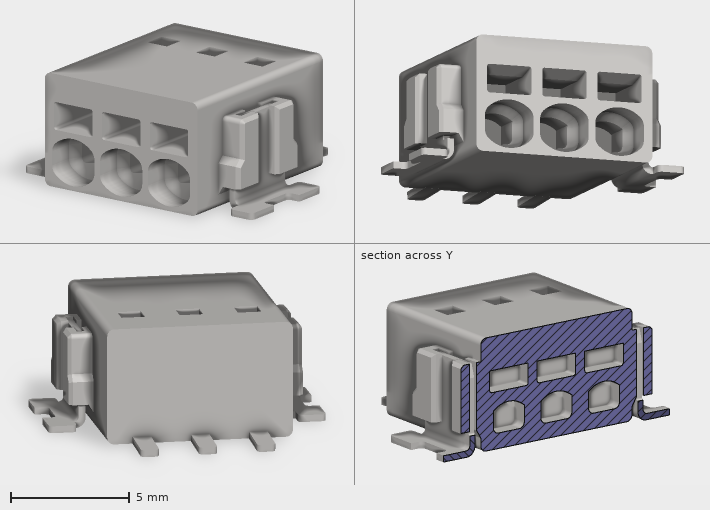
import cadquery as cq
import math


housing_width = 7.97
housing_depth = 9.0
housing_height = 5.0
housing_edge_radius = 0.3
side_x = -housing_width / 2

pole_pitch = 2.5
pole_centres = [-pole_pitch, 0, pole_pitch]

window_width = 2.0
window_bottom = 2.53
window_top = 3.76
window_corner_radius = 0.11
window_roof_angle = 15
window_roof_length = 1.01
cavity_depth = 3.0

mouth_width = 2.2
mouth_height = 2.08
mouth_centre_z = 1.25
mouth_arc_radius = 1.4
mouth_corner_radius = 0.5
mouth_depth = 1.2
funnel_angle = 30
funnel_depth = 0.83
bore_width = 1.6
bore_bottom = 0.7
bore_side_top = 1.69
bore_top = 1.99
bore_corner_radius = 0.24

test_pocket_size = 1.01
test_pocket_depth = 0.5
test_pocket_y = 6.52

tail_width = 0.79
tail_thickness = 0.3
tail_length = 2.0
tail_root = 0.24
tail_slope = 3.0
tail_corner_radius = 0.2
tail_tip_z = -0.12

holder_y = 3.7
holder_reach = 1.05
holder_bottom = 1.0
holder_top = 4.0
holder_gap_half = 0.6
holder_top_half = 1.9
holder_base_half = 2.19
holder_step_z = 2.0
holder_corner_radius = 0.2
holder_chamfer = 0.15
bridge_top = holder_step_z
gusset_reach = 0.21
gusset_height = 0.37

clip_thickness = 0.3
clip_outer_x = -4.56
clip_inner_x = clip_outer_x + clip_thickness
clip_top = 3.92
clip_tip_half = 1.1
clip_half = 1.29
clip_tip_height = 0.6
clip_shoulder_half = 1.8
clip_shoulder_z = 0.82
clip_shoulder_radius = 0.08
clip_slot_half = 1.36
clip_slot_clearance = 0.05
clip_slot_inner_x = clip_inner_x + clip_slot_clearance
bend_inner_radius = 0.2
bend_outer_radius = 0.46

foot_outer_x = -5.95
foot_inner_x = clip_outer_x - bend_inner_radius
foot_bottom = -0.1
foot_top = foot_bottom + clip_thickness
bend_top = foot_top + bend_inner_radius
foot_half = 2.49
foot_corner_radius = 0.2
notch_depth = 0.6
notch_half = 0.9

latch_half = 0.43
latch_reach = 0.15
latch_height = 0.5


def box_between(x_range, y_range, z_range):
    sizes = [high - low for low, high in (x_range, y_range, z_range)]
    corner = (x_range[0], y_range[0], z_range[0])
    return cq.Workplane().box(*sizes, centered=False).translate(corner)


def front_plane(x, depth, z):
    """A plane at a depth behind the front face, with its normal pointing into the housing."""
    return cq.Workplane(cq.Plane((x, depth, z), xDir=(-1, 0, 0), normal=(0, 1, 0)))


def side_profile(points, outer_x, inner_x):
    """Extrude an outline of (distance from the holder's centre in Y, Z) points along X."""
    plane = cq.Plane((outer_x, holder_y, 0), xDir=(0, 1, 0), normal=(1, 0, 0))
    return cq.Workplane(plane).polyline(points).close().extrude(inner_x - outer_x)


def mirrored_half(half_points):
    """Complete an outline from its right half, listed from the bottom to the top."""
    return half_points + [(-y, z) for y, z in reversed(half_points)]


def window(x):
    """A rounded rectangular cavity whose roof slopes down from the front face."""
    height = window_top - window_bottom
    drop = window_roof_length * math.tan(math.radians(window_roof_angle))
    opening = (
        front_plane(x, 0, window_bottom + height / 2)
        .rect(window_width, height)
        .extrude(cavity_depth)
        .edges("|Y")
        .fillet(window_corner_radius)
    )
    side_outline = (
        cq.Workplane("YZ", origin=(x, 0, 0))
        .polyline(
            [
                (0, window_bottom),
                (cavity_depth, window_bottom),
                (cavity_depth, window_top - drop),
                (window_roof_length, window_top - drop),
                (0, window_top),
            ]
        )
        .close()
        .extrude(window_width / 2, both=True)
    )
    return opening.intersect(side_outline)


def mouth_outline(plane):
    """Straight sides and shallow top and bottom arcs, joined by tangent corner arcs."""
    half_width = mouth_width / 2
    half_height = mouth_height / 2
    arc_centre = half_height - mouth_arc_radius
    corner_x = half_width - mouth_corner_radius
    corner_z = arc_centre + math.sqrt((mouth_arc_radius - mouth_corner_radius) ** 2 - corner_x**2)
    turn = math.atan2(corner_z - arc_centre, corner_x)
    join_x = mouth_arc_radius * math.cos(turn)
    join_z = arc_centre + mouth_arc_radius * math.sin(turn)
    middle_x = corner_x + mouth_corner_radius * math.cos(turn / 2)
    middle_z = corner_z + mouth_corner_radius * math.sin(turn / 2)
    return (
        plane.moveTo(half_width, -corner_z)
        .lineTo(half_width, corner_z)
        .threePointArc((middle_x, middle_z), (join_x, join_z))
        .threePointArc((0, half_height), (-join_x, join_z))
        .threePointArc((-middle_x, middle_z), (-half_width, corner_z))
        .lineTo(-half_width, -corner_z)
        .threePointArc((-middle_x, -middle_z), (-join_x, -join_z))
        .threePointArc((0, -half_height), (join_x, -join_z))
        .threePointArc((middle_x, -middle_z), (half_width, -corner_z))
        .close()
    )


def wire_entry(x):
    """The cavity for one wire, narrowing from the mouth through the funnel to the bore."""
    mouth = mouth_outline(front_plane(x, 0, mouth_centre_z)).extrude(mouth_depth)
    funnel_plane = front_plane(x, mouth_depth, mouth_centre_z)
    funnel = mouth_outline(funnel_plane).extrude(funnel_depth, taper=funnel_angle)
    half_width = bore_width / 2
    bore = (
        front_plane(x, 0, 0)
        .moveTo(-half_width, bore_bottom)
        .lineTo(half_width, bore_bottom)
        .lineTo(half_width, bore_side_top)
        .threePointArc((0, bore_top), (-half_width, bore_side_top))
        .close()
        .extrude(cavity_depth)
        .edges("|Y and <Z")
        .fillet(bore_corner_radius)
    )
    return mouth.union(funnel).union(bore)


def test_pocket(x):
    return (
        cq.Workplane("XY", origin=(x, test_pocket_y, housing_height))
        .rect(test_pocket_size, test_pocket_size)
        .extrude(-test_pocket_depth)
    )


def solder_tail(x):
    """A flat tail with a rounded tip, sloping down behind the housing."""
    slope = math.radians(tail_slope)
    tip_y = housing_depth + tail_length
    tail = (
        box_between((-tail_width / 2, tail_width / 2), (-tail_length - tail_root, 0), (-tail_thickness, 0))
        .edges("|Z and >Y")
        .fillet(tail_corner_radius)
    )
    top_z = tail_tip_z + tail_thickness * math.cos(slope)
    return tail.rotate((0, 0, 0), (1, 0, 0), -tail_slope).translate((x, tip_y, top_z))


def holder_tower():
    """The tower behind the clip's centre line (+Y), chamfered around its outer face."""
    step = holder_base_half - holder_top_half
    outline = [
        (holder_gap_half, holder_bottom),
        (holder_base_half, holder_bottom),
        (holder_base_half, holder_step_z),
        (holder_top_half, holder_step_z + step),
        (holder_top_half, holder_top),
        (holder_gap_half, holder_top),
    ]
    tower = side_profile(outline, side_x - holder_reach, side_x)
    tower = tower.faces(">Z").edges(">Y").fillet(holder_corner_radius)
    return tower.faces("<X").edges("not <Z").chamfer(holder_chamfer)


def clip_holder():
    """Two towers, the bridge and gusset that join them, and the slot that takes the clip."""
    tower = holder_tower()
    front_tower = tower.mirror("XZ", (0, holder_y, 0))
    gap = (holder_y - holder_gap_half, holder_y + holder_gap_half)
    bridge = box_between((clip_slot_inner_x, side_x), gap, (holder_bottom, bridge_top))
    gusset = (
        cq.Workplane("XZ", origin=(0, holder_y, 0))
        .polyline(
            [
                (side_x, holder_bottom),
                (side_x - gusset_reach, holder_bottom),
                (side_x, holder_bottom - gusset_height),
            ]
        )
        .close()
        .extrude(holder_base_half, both=True)
    )
    slot = box_between(
        (clip_outer_x, clip_slot_inner_x),
        (holder_y - clip_slot_half, holder_y + clip_slot_half),
        (0, holder_top),
    )
    return tower.union(front_tower).union(bridge).union(gusset).cut(slot)


def mirror_to_right(shape):
    return shape.mirror("YZ")


def make_housing():
    body = (
        box_between((side_x, -side_x), (0, housing_depth), (0, housing_height))
        .edges("|Y")
        .fillet(housing_edge_radius)
    )
    for x in pole_centres:
        body = body.cut(window(x)).cut(wire_entry(x)).cut(test_pocket(x)).union(solder_tail(x))
    holder = clip_holder()
    return body.union(holder).union(mirror_to_right(holder))


def clip_plate():
    """The upright plate: wide shoulders, then a blade with a tapered tip."""
    half_outline = [
        (clip_shoulder_half, bend_top),
        (clip_shoulder_half, clip_shoulder_z),
        (clip_half, clip_shoulder_z),
        (clip_half, clip_top - clip_tip_height),
        (clip_tip_half, clip_top),
    ]
    plate = side_profile(mirrored_half(half_outline), clip_outer_x, clip_inner_x)
    margin = clip_shoulder_radius
    shoulder_corners = cq.selectors.BoxSelector(
        (clip_outer_x, holder_y - clip_half - margin, clip_shoulder_z - margin),
        (clip_inner_x, holder_y + clip_half + margin, clip_shoulder_z + margin),
    )
    return plate.edges("|X").edges(shoulder_corners).fillet(clip_shoulder_radius)


def clip_bend():
    """The quarter bend from the upright plate to the foot."""
    y_range = (holder_y - clip_shoulder_half, holder_y + clip_shoulder_half)
    bend = box_between((foot_inner_x, clip_inner_x), y_range, (foot_bottom, bend_top))
    bend = bend.edges("|Y and >X and <Z").fillet(bend_outer_radius)
    inside_top = bend_top + bend_inner_radius
    inside_x = foot_inner_x - bend_inner_radius
    inside = box_between((inside_x, clip_outer_x), y_range, (foot_top, inside_top))
    return bend.cut(inside.edges("|Y and >X and <Z").fillet(bend_inner_radius))


def clip_foot():
    """The flat solder foot, notched in the middle of its outer edge."""
    foot = box_between(
        (foot_outer_x, foot_inner_x),
        (holder_y - foot_half, holder_y + foot_half),
        (foot_bottom, foot_top),
    )
    foot = foot.edges("|Z").fillet(foot_corner_radius)
    notch = box_between(
        (foot_outer_x - notch_depth, foot_outer_x + notch_depth),
        (holder_y - notch_half, holder_y + notch_half),
        (foot_bottom, foot_top),
    )
    return foot.cut(notch.edges("|Z and >X").fillet(foot_corner_radius))


def make_clip():
    latch = box_between(
        (clip_inner_x, clip_inner_x + latch_reach),
        (holder_y - latch_half, holder_y + latch_half),
        (bridge_top, bridge_top + latch_height),
    )
    return clip_plate().union(clip_bend()).union(clip_foot()).union(latch)


housing = make_housing()
left_clip = make_clip()
clips = [left_clip, mirror_to_right(left_clip)]

result = cq.Compound.makeCompound([housing.val(), *[clip.val() for clip in clips]])